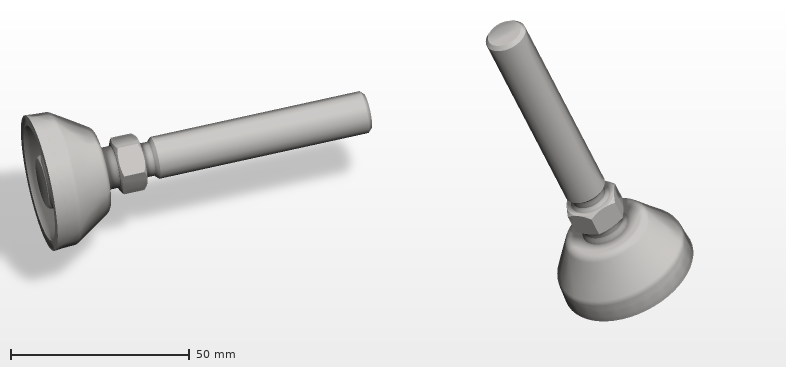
import cadquery as cq
import math


foot_radius = 19.5
skirt_height = 5.9
skirt_top_radius = 19.1
shoulder_height = 7.3
shoulder_radius = 18.6
crown_edge_height = 16.7
crown_edge_radius = 12.6
foot_height = 18.0

rim_radius = 16.5
lip_height = 0.8
lip_radius = 16.3
cavity_wall_height = 5.4
cavity_corner_radius = 16.25
groove_edge_height = 10.3
groove_outer_radius = 12.5
groove_inner_radius = 10.8
groove_top_height = 10.8
socket_mouth_height = 4.6

total_length = 95.6
rod_radius = 6.0
rod_chamfer = 1.05
undercut_radius = 4.9
rod_start = 33.65
rod_taper_end = rod_start - (rod_radius - undercut_radius)
undercut_start = 30.5
plug_radius = 7.8
plug_end_height = 0.8
plug_face_radius = 6.9
plug_rounding_height = 2.4
plug_bulge = 0.26
flare_end = 19.6
flare_start = 16.2
hex_across_flats = 14.2
hex_start = 21.9
hex_end = 29.5
hex_corner_radius = hex_across_flats / math.sqrt(3)
hex_lower_end_radius = 6.4
hex_lower_chamfer = 0.9
hex_upper_end_radius = 7.2
hex_upper_chamfer = 0.9
hex_flare_radius = undercut_radius + undercut_start - hex_end


def revolve_about_y(profile):
    """Revolve a closed (radius, height) profile about the Y axis."""
    return profile.close().revolve(360, (0, 0, 0), (0, 1, 0))


def midway_arc_point(start, end, bulge):
    """Point beside the middle of a chord, offset by bulge to its right."""
    dx = end[0] - start[0]
    dy = end[1] - start[1]
    chord = math.hypot(dx, dy)
    return (
        (start[0] + end[0]) / 2 + bulge * dy / chord,
        (start[1] + end[1]) / 2 - bulge * dx / chord,
    )


def make_foot():
    """Bell-shaped foot with a through socket and a ring-shaped cavity around its collar."""
    skirt_top = (skirt_top_radius, skirt_height)
    shoulder = (shoulder_radius, shoulder_height)
    crown_edge = (crown_edge_radius, crown_edge_height)
    flank_width = shoulder_radius - crown_edge_radius
    flank_height = crown_edge_height - shoulder_height
    flank_angle = math.atan2(flank_height, flank_width)
    crown_drop = foot_height - crown_edge_height
    crown_width = crown_drop / math.tan(flank_angle / 2)
    crown = (crown_edge_radius - crown_width, foot_height)
    crown_bulge = math.hypot(crown_width, crown_drop) / 2 * math.tan(flank_angle / 4)
    shoulder_bulge = 0.1
    flare_fraction = (foot_height - flare_start) / (flare_end - flare_start)
    socket_top_radius = plug_radius - flare_fraction * (plug_radius - rod_radius)
    groove_middle_radius = (groove_outer_radius + groove_inner_radius) / 2
    profile = (
        cq.Workplane("XY")
        .moveTo(plug_radius, socket_mouth_height)
        .lineTo(groove_inner_radius, groove_edge_height)
        .threePointArc(
            (groove_middle_radius, groove_top_height),
            (groove_outer_radius, groove_edge_height),
        )
        .lineTo(cavity_corner_radius, cavity_wall_height)
        .lineTo(lip_radius, lip_height)
        .lineTo(rim_radius, 0)
        .lineTo(foot_radius, 0)
        .lineTo(*skirt_top)
        .threePointArc(midway_arc_point(skirt_top, shoulder, shoulder_bulge), shoulder)
        .lineTo(*crown_edge)
        .threePointArc(midway_arc_point(crown_edge, crown, crown_bulge), crown)
        .lineTo(socket_top_radius, foot_height)
        .lineTo(plug_radius, flare_start)
    )
    return revolve_about_y(profile)


def make_hexagon():
    """Wrench hexagon with corners along Z and cone-chamfered ends."""
    prism = (
        cq.Workplane("ZX", origin=(0, hex_start, 0))
        .polygon(6, 2 * hex_corner_radius)
        .extrude(hex_end - hex_start)
    )
    envelope = revolve_about_y(
        cq.Workplane("XY")
        .moveTo(0, hex_start)
        .lineTo(hex_lower_end_radius, hex_start)
        .lineTo(hex_corner_radius, hex_start + hex_lower_chamfer)
        .lineTo(hex_corner_radius, hex_end - hex_upper_chamfer)
        .lineTo(hex_upper_end_radius, hex_end)
        .lineTo(0, hex_end)
    )
    return prism.intersect(envelope)


def make_stud():
    """Stud with a round-edged plug, conical shoulder, wrench hexagon, undercut and chamfered rod."""
    face_edge = (plug_face_radius, plug_end_height)
    plug_side = (plug_radius, plug_rounding_height)
    shaft = revolve_about_y(
        cq.Workplane("XY")
        .moveTo(0, plug_end_height)
        .lineTo(*face_edge)
        .threePointArc(midway_arc_point(face_edge, plug_side, plug_bulge), plug_side)
        .lineTo(plug_radius, flare_start)
        .lineTo(rod_radius, flare_end)
        .lineTo(rod_radius, hex_end)
        .lineTo(hex_flare_radius, hex_end)
        .lineTo(undercut_radius, undercut_start)
        .lineTo(undercut_radius, rod_taper_end)
        .lineTo(rod_radius, rod_start)
        .lineTo(rod_radius, total_length - rod_chamfer)
        .lineTo(rod_radius - rod_chamfer, total_length)
        .lineTo(0, total_length)
    )
    return shaft.union(make_hexagon())


foot = make_foot()
stud = make_stud()
result = cq.Compound.makeCompound([foot.val(), stud.val()])